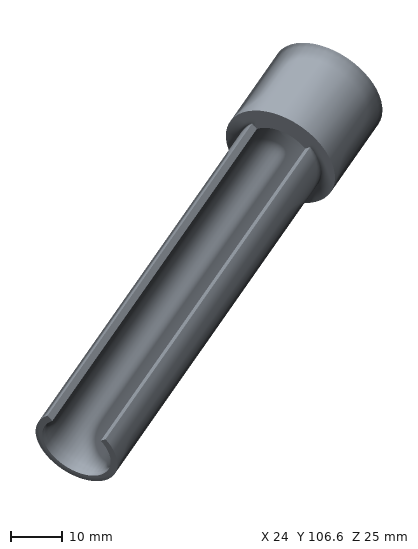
import cadquery as cq
import math

overall_length = 106.6
tilt_angle = 3.0
head_diameter = 24.0
head_length = 20.0
tube_diameter = 18.0
bore_diameter = 15.0
socket_diameter = tube_diameter
socket_depth = head_length / 2
slot_angle = 90.0

tilt = math.radians(tilt_angle)
head_rear = (overall_length - head_diameter / 2 * math.sin(tilt)) / math.cos(tilt)
head_front = head_rear - head_length
end_allowance = tube_diameter


def cylinder(diameter, start, end):
    """Solid cylinder on the Y axis between two places along it."""
    sketch = cq.Workplane("XZ", origin=(0, start, 0)).circle(diameter / 2)
    return sketch.extrude(start - end)


def slot_wedge():
    """Radial wedge, open upward, that runs along the tube up to the head."""
    wedge_height = tube_diameter
    half_width = wedge_height * math.tan(math.radians(slot_angle / 2))
    outline = (
        cq.Workplane("XZ", origin=(0, -end_allowance, 0))
        .moveTo(0, 0)
        .lineTo(half_width, wedge_height)
        .lineTo(-half_width, wedge_height)
        .close()
    )
    return outline.extrude(-end_allowance - head_front)


tube = cylinder(tube_diameter, -end_allowance, head_rear).cut(slot_wedge())
head = cylinder(head_diameter, head_front, head_rear)
bore = cylinder(bore_diameter, -end_allowance, head_rear)
socket = cylinder(socket_diameter, head_rear - socket_depth, head_rear)
level_part = tube.union(head).cut(bore).cut(socket)

tilted_part = level_part.rotate((0, 0, 0), (1, 0, 0), -tilt_angle)
trim_size = 2 * overall_length
end_trim = cq.Workplane("XY").box(trim_size, trim_size, trim_size).translate((0, -trim_size / 2, 0))
result = tilted_part.cut(end_trim)